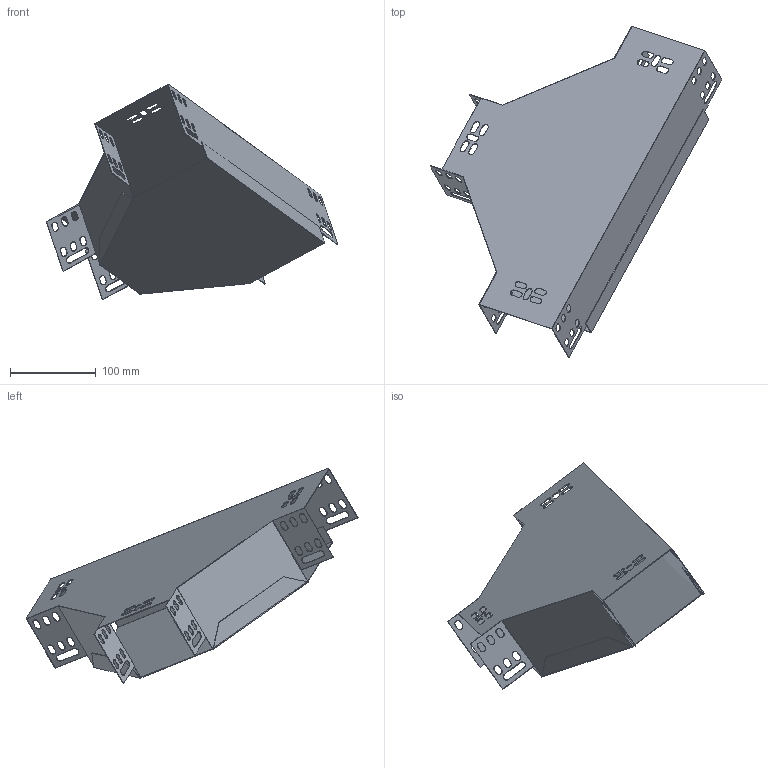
import cadquery as cq
import math


sheet = 0.8
channel_width = 101.4
gusset = 99.8
ear_length = 45.5
ear_height = 69.86
wall_height = 85.68
branch_setback = 15.9

lip_height = 22.68

ear_slot_length = 12.0
ear_slot_width = 7.0
ear_slot_first = 8.4
ear_slot_pitch = 13.5
ear_slot_columns = 3
ear_slot_rows = [11.72, 47.0]
long_slot_length = 30.3
long_slot_width = 8.1
long_slot_depth = 60.36
long_slot_from_tip = 23.2

floor_slot_length = 15.12
floor_slot_width = 7.2
floor_slot_side = 13.49
floor_slot_rows = [27.6, 39.5]
floor_slot_middle = 31.54

tilt_x = -28.837
tilt_y = 19.245
tilt_z = 61.21

half_branch = channel_width / 2
run_corner = half_branch + gusset
branch_corner = channel_width + gusset
run_end = run_corner + ear_length
branch_end = branch_corner + ear_length
mitre = math.tan(math.radians(22.5))
cut_margin = 10.0


def tee_outline(arm_length, inset):
    """Outline of the tee with arms of the given length, moved inwards by inset on its walled sides."""
    width = half_branch - inset
    far_side = channel_width - inset
    corner_x = run_corner + inset * mitre
    corner_y = branch_corner + inset * mitre
    end_x = run_corner + arm_length
    end_y = branch_corner + arm_length
    right = [
        (end_x, inset),
        (end_x, far_side),
        (corner_x, far_side),
        (width, corner_y),
        (width, end_y),
    ]
    left = [(-x, y) for x, y in reversed(right)]
    return right + left


def prism(points, bottom, top):
    return cq.Workplane("XY").workplane(offset=bottom).polyline(points).close().extrude(top - bottom)


def block(x_range, y_range, z_range):
    size = [high - low for low, high in (x_range, y_range, z_range)]
    corner = (x_range[0], y_range[0], z_range[0])
    return cq.Workplane("XY").box(*size, centered=False).translate(corner)


def arm_end_cutter(bottom, top):
    """Space beyond the corners in each of the three arms, between two heights."""
    x_out = run_end + cut_margin
    y_out = branch_end + cut_margin
    heights = (bottom, top)
    cutter = block((run_corner, x_out), (-cut_margin, channel_width + cut_margin), heights)
    cutter = cutter.union(cutter.mirror("YZ"))
    branch = block(
        (-half_branch - cut_margin, half_branch + cut_margin), (branch_corner, y_out), heights
    )
    return cutter.union(branch)


def ear_slots():
    """Slots of one pair of facing ears, for an arm along +X centred on Y = 0 whose tip is at X = 0."""
    upright = [
        (-ear_slot_first - column * ear_slot_pitch, -row)
        for row in ear_slot_rows
        for column in range(ear_slot_columns)
    ]
    reach = half_branch + cut_margin
    plane = cq.Workplane("XZ")
    slots = plane.pushPoints(upright).slot2D(ear_slot_length, ear_slot_width, 90).extrude(reach, both=True)
    long_slot = (
        plane.center(-long_slot_from_tip, -long_slot_depth)
        .slot2D(long_slot_length, long_slot_width)
        .extrude(reach, both=True)
    )
    return slots.union(long_slot)


def floor_slots():
    """Floor slots of one arm, in the same place as ear_slots."""
    crosswise = [(-row, side * floor_slot_side) for row in floor_slot_rows for side in (-1, 1)]
    plane = cq.Workplane("XY")
    slots = plane.pushPoints(crosswise).slot2D(floor_slot_length, floor_slot_width, 90).extrude(sheet, both=True)
    middle = plane.center(-floor_slot_middle, 0).slot2D(floor_slot_length, floor_slot_width)
    return slots.union(middle.extrude(sheet, both=True))


def make_tray():
    body = prism(tee_outline(ear_length, 0), -wall_height, 0)
    hollow = prism(tee_outline(ear_length + cut_margin, sheet), -wall_height, -sheet)
    body = body.cut(hollow)
    body = body.cut(arm_end_cutter(-wall_height, -ear_height))
    body = body.cut(block(
        (-half_branch + sheet, half_branch - sheet),
        (branch_end - branch_setback, branch_end),
        (-sheet, 0),
    ))
    arm_slots = ear_slots().union(floor_slots())
    run_slots = arm_slots.translate((run_end, half_branch, 0))
    branch_slots = arm_slots.rotate((0, 0, 0), (0, 0, 1), 90).translate((0, branch_end, 0))
    for slots in (run_slots, run_slots.mirror("YZ"), branch_slots):
        body = body.cut(slots)
    return body


def diagonal_lip():
    """Lip with slanted ends on the outside of the diagonal wall on the +X side."""
    length = gusset * math.sqrt(2)
    plane = cq.Plane(
        origin=(run_corner, channel_width, -wall_height - sheet),
        xDir=(-1, 1, 0),
        normal=(1, 1, 0),
    )
    outline = [(0, 0), (length, 0), (length - lip_height, lip_height), (lip_height, lip_height)]
    return cq.Workplane(plane).polyline(outline).close().extrude(sheet)


def make_cover():
    outer_face = -wall_height - sheet
    right = [(run_corner, 0), (run_corner, channel_width), (half_branch, branch_corner)]
    left = [(-x, y) for x, y in reversed(right)]
    cover = prism(right + left, outer_face, -wall_height)
    back_lip = block((-run_corner, run_corner), (-sheet, 0), (outer_face, outer_face + lip_height))
    lip = diagonal_lip()
    return cover.union(back_lip).union(lip).union(lip.mirror("YZ"))


def tilt(body):
    turned = body.rotate((0, 0, 0), (1, 0, 0), tilt_x)
    turned = turned.rotate((0, 0, 0), (0, 1, 0), tilt_y)
    return turned.rotate((0, 0, 0), (0, 0, 1), tilt_z)


tray = tilt(make_tray())
cover = tilt(make_cover())
result = cq.Compound.makeCompound([tray.val(), cover.val()])